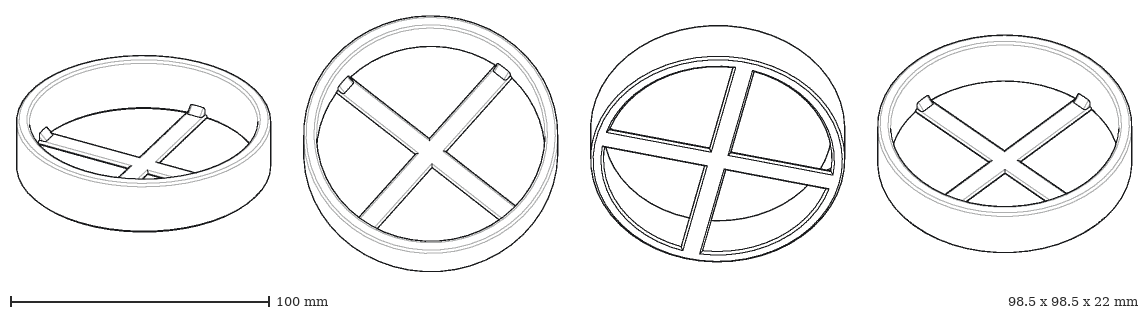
import cadquery as cq

outer_diameter = 98.5
inner_diameter = 88.5
ring_height = 22.0
top_edge_radius = 1.0
bottom_chamfer = 1.0

spoke_width = 8.5
spoke_thickness = 2.0
spoke_edge_radius = 0.9
spoke_bottom_chamfer = 0.9

gusset_run = 3.0
gusset_rise = 3.0
gusset_width = spoke_width - 2 * spoke_edge_radius
gusset_edge_radius = 0.9

inner_radius = inner_diameter / 2
wall_middle_radius = (outer_diameter + inner_diameter) / 4


def make_ring():
    """Plain ring with rounded top edges and chamfered bottom edges."""
    ring = cq.Workplane("XY").circle(outer_diameter / 2).circle(inner_radius).extrude(ring_height)
    ring = ring.faces(">Z").edges().fillet(top_edge_radius)
    return ring.faces("<Z").edges().chamfer(bottom_chamfer)


def make_cross():
    """Two perpendicular spokes, rounded above and chamfered below, with ends buried in the wall."""
    length = 2 * wall_middle_radius
    centered = (True, True, False)
    cross = cq.Workplane("XY").box(length, spoke_width, spoke_thickness, centered=centered)
    cross = cross.union(cq.Workplane("XY").box(spoke_width, length, spoke_thickness, centered=centered))
    cross = cross.faces(">Z").edges().fillet(spoke_edge_radius)
    return cross.faces("<Z").edges().chamfer(spoke_bottom_chamfer)


def make_gusset():
    """Ramp rising toward the wall at the +X end of a spoke, rounded along its sloped edges."""
    slope = gusset_rise / gusset_run
    foot = inner_radius - gusset_run
    buried_top = spoke_thickness + slope * (wall_middle_radius - foot)
    base = spoke_thickness / 2
    foot_below = foot - (spoke_thickness - base) / slope
    gusset = (
        cq.Workplane("XZ")
        .moveTo(foot_below, base)
        .lineTo(wall_middle_radius, base)
        .lineTo(wall_middle_radius, buried_top)
        .close()
        .extrude(gusset_width / 2, both=True)
    )
    sloped_edges = gusset.edges("not(|X or |Y or |Z)")
    return sloped_edges.fillet(gusset_edge_radius)


result = make_ring().union(make_cross())
gusset = make_gusset()
for quarter in range(4):
    result = result.union(gusset.rotate((0, 0, 0), (0, 0, 1), 90 * quarter))